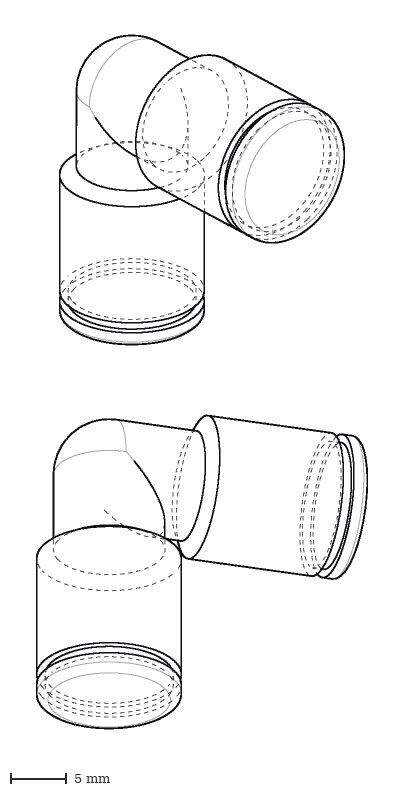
import cadquery as cq
import math

elbow_diameter = 10.0
socket_diameter = 13.0
neck_diameter = 11.5
flange_diameter = 13.0

arm_length = 22.5
flange_thickness = 1.5
neck_length = 1.0
socket_length = 12.5

cone_angle = 60.0

rim_depth = 0.6
rim_width = 1.0

flange_start = arm_length - flange_thickness
socket_end = flange_start - neck_length
socket_start = socket_end - socket_length
cone_length = (socket_diameter - elbow_diameter) / 2 / math.tan(math.radians(cone_angle))


def socket_arm():
    """Half of the elbow: a thin arm that widens over a cone into the tube socket, along +X."""
    elbow_radius = elbow_diameter / 2
    socket_radius = socket_diameter / 2
    return (
        cq.Workplane("XY")
        .moveTo(0, 0)
        .lineTo(0, elbow_radius)
        .lineTo(socket_start, elbow_radius)
        .lineTo(socket_start + cone_length, socket_radius)
        .lineTo(socket_end, socket_radius)
        .lineTo(socket_end, 0)
        .close()
        .revolve(360, (0, 0, 0), (1, 0, 0))
    )


def release_ring():
    """Push-to-release ring along +X: a neck against the socket face and a rounded flange."""
    neck_radius = neck_diameter / 2
    flange_radius = flange_diameter / 2
    return (
        cq.Workplane("XY")
        .moveTo(socket_end, 0)
        .lineTo(socket_end, neck_radius)
        .lineTo(flange_start, neck_radius)
        .lineTo(flange_start, flange_radius)
        .lineTo(arm_length - rim_depth, flange_radius)
        .ellipseArc(rim_depth, rim_width, 0, 90, sense=-1)
        .lineTo(arm_length, 0)
        .close()
        .revolve(360, (0, 0, 0), (1, 0, 0))
    )


def turn_down(body):
    """Swing a body on the +X arm onto the -Z arm."""
    return body.rotate((0, 0, 0), (0, 1, 0), 90)


horizontal_arm = socket_arm()
bend_ball = cq.Workplane("XY").sphere(elbow_diameter / 2)
housing = horizontal_arm.union(turn_down(horizontal_arm)).union(bend_ball)

horizontal_ring = release_ring()
rings = [horizontal_ring, turn_down(horizontal_ring)]

result = cq.Compound.makeCompound([housing.val(), *[ring.val() for ring in rings]])